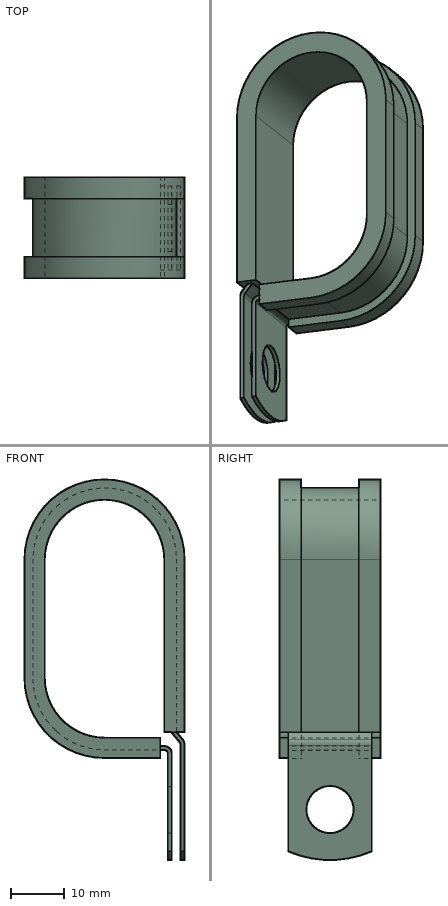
import cadquery as cq
import math

height = 71.25
loop_width = 30.0
liner_depth = 18.95
liner_wall = 3.85
liner_bottom = 19.1
side_end_z = 23.95
bottom_end_x = 10.5
groove_width = 10.8
groove_depth = 1.6

strap_inset = 1.5
strap_thickness = 0.8
tab_width = 15.7
tab_tip_rise = 1.65
inner_tab_x = 12.6
bend_radius = 0.65
joggle_angle = math.radians(40)
joggle_radius = 1.0
hole_diameter = 8.75
hole_z = 9.5

outer_radius = loop_width / 2
upper_center_z = height - outer_radius
lower_center_z = liner_bottom + outer_radius


def extrude_centered(profile, depth):
    """Extrude an XZ profile equally to both sides of Y = 0."""
    return profile.extrude(depth / 2, both=True)


def loop_band(outer_inset, thickness, depth):
    """Open loop band whose outer face lies outer_inset inside the liner surface."""
    outer = outer_radius - outer_inset
    inner = outer - thickness
    diagonal = math.sqrt(0.5)
    profile = (
        cq.Workplane("XZ")
        .moveTo(outer, side_end_z)
        .lineTo(outer, upper_center_z)
        .threePointArc((0, upper_center_z + outer), (-outer, upper_center_z))
        .lineTo(-outer, lower_center_z)
        .threePointArc(
            (-outer * diagonal, lower_center_z - outer * diagonal),
            (0, lower_center_z - outer),
        )
        .lineTo(bottom_end_x, lower_center_z - outer)
        .lineTo(bottom_end_x, lower_center_z - inner)
        .lineTo(0, lower_center_z - inner)
        .threePointArc(
            (-inner * diagonal, lower_center_z - inner * diagonal),
            (-inner, lower_center_z),
        )
        .lineTo(-inner, upper_center_z)
        .threePointArc((0, upper_center_z + inner), (inner, upper_center_z))
        .lineTo(inner, side_end_z)
        .close()
    )
    return extrude_centered(profile, depth)


def inner_tab():
    """Tab leaving the bottom wall and turning straight down."""
    strap_bottom = liner_bottom + strap_inset
    strap_top = strap_bottom + strap_thickness
    inner_face = inner_tab_x - strap_thickness
    outside_bend = bend_radius + strap_thickness
    bend_x = inner_tab_x - outside_bend
    bend_z = strap_top - outside_bend
    diagonal = math.sqrt(0.5)
    profile = (
        cq.Workplane("XZ")
        .moveTo(bottom_end_x, strap_bottom)
        .lineTo(bottom_end_x, strap_top)
        .lineTo(bend_x, strap_top)
        .threePointArc(
            (bend_x + outside_bend * diagonal, bend_z + outside_bend * diagonal),
            (inner_tab_x, bend_z),
        )
        .lineTo(inner_tab_x, 0)
        .lineTo(inner_face, 0)
        .lineTo(inner_face, bend_z)
        .threePointArc(
            (bend_x + bend_radius * diagonal, bend_z + bend_radius * diagonal),
            (bend_x, strap_bottom),
        )
        .close()
    )
    return extrude_centered(profile, tab_width)


def outer_tab():
    """Tab leaving the +X wall through an outward joggle, flush with the liner."""
    strap_outer = outer_radius - strap_inset
    outside_bend = joggle_radius + strap_thickness
    bend_x = outer_radius - outside_bend

    tangent_x = bend_x + outside_bend * math.cos(joggle_angle)
    tangent_z = side_end_z - (tangent_x - strap_outer) / math.tan(joggle_angle)
    bend_z = tangent_z - outside_bend * math.sin(joggle_angle)

    def bend_point(radius, angle):
        return (bend_x + radius * math.cos(angle), bend_z + radius * math.sin(angle))

    inner_tangent = bend_point(joggle_radius, joggle_angle)
    slope_top_x = inner_tangent[0] - (side_end_z - inner_tangent[1]) * math.tan(joggle_angle)
    profile = (
        cq.Workplane("XZ")
        .moveTo(slope_top_x, side_end_z)
        .lineTo(strap_outer, side_end_z)
        .lineTo(tangent_x, tangent_z)
        .threePointArc(bend_point(outside_bend, joggle_angle / 2), (outer_radius, bend_z))
        .lineTo(outer_radius, 0)
        .lineTo(outer_radius - strap_thickness, 0)
        .lineTo(outer_radius - strap_thickness, bend_z)
        .threePointArc(bend_point(joggle_radius, joggle_angle / 2), inner_tangent)
        .close()
    )
    return extrude_centered(profile, tab_width)


def tab_outline():
    """Block with the rounded tip and bolt hole shared by both tabs."""
    half = tab_width / 2
    outline = (
        cq.Workplane("YZ")
        .moveTo(-half, tab_tip_rise)
        .threePointArc((0, 0), (half, tab_tip_rise))
        .lineTo(half, height)
        .lineTo(-half, height)
        .close()
        .extrude(loop_width)
    )
    hole = (
        cq.Workplane("YZ")
        .center(0, hole_z)
        .circle(hole_diameter / 2)
        .extrude(loop_width)
    )
    return outline.cut(hole)


liner = loop_band(0, liner_wall, liner_depth)
liner = liner.cut(loop_band(0, groove_depth, groove_width))
tabs = inner_tab().union(outer_tab()).intersect(tab_outline())
result = liner.union(tabs)